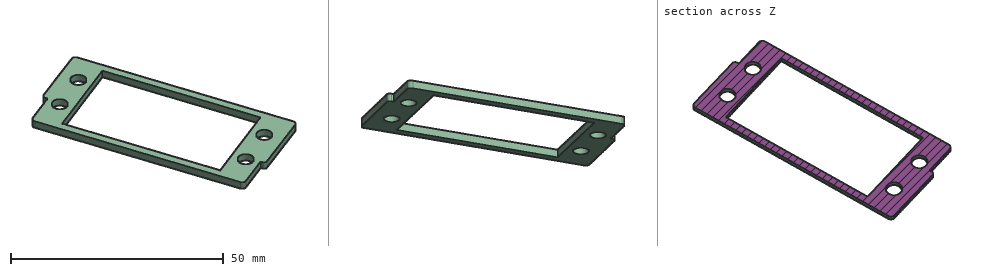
import cadquery as cq

length = 58.2
width = 26.0
thickness = 2.0

ear_overhang = 1.4
ear_length = 17.0
side_lean = 0.1

corner_radius = 1.0
ear_radius = 0.75

window_length = 41.05
window_width = 22.0

hole_diameter = 3.8
hole_spacing_x = 48.3
hole_spacing_y = 10.1
hole_centre_y = 0.4

half_length = length / 2
back_y = width / 2
front_y = -width / 2
ear_y = back_y - ear_length
lean_slope = side_lean / ear_length
body_half_length = half_length - ear_overhang


def corner_at(x, y):
    """Select the upright edge at one outline corner."""
    reach = 0.03
    return cq.selectors.BoxSelector(
        (x - reach, y - reach, -reach),
        (x + reach, y + reach, thickness + reach),
    )


def make_plate():
    """Stepped outline with rounded outer corners."""
    right_x = half_length + corner_radius * lean_slope
    left_x = -half_length - ear_radius * lean_slope
    back_corners = [(right_x, back_y), (left_x + side_lean, back_y)]
    ear_corners = [(left_x, ear_y), (right_x - side_lean, ear_y)]
    front_corners = [(-body_half_length, front_y), (body_half_length, front_y)]
    outline = [
        *back_corners,
        ear_corners[0],
        (-body_half_length, ear_y),
        *front_corners,
        (body_half_length, ear_y),
        ear_corners[1],
    ]
    plate = cq.Workplane("XY").polyline(outline).close().extrude(thickness)
    for x, y in back_corners + front_corners:
        plate = plate.edges(corner_at(x, y)).fillet(corner_radius)
    for x, y in ear_corners:
        plate = plate.edges(corner_at(x, y)).fillet(ear_radius)
    return plate


def make_window():
    return cq.Workplane("XY").rect(window_length, window_width).extrude(thickness)


def make_holes():
    return (
        cq.Workplane("XY")
        .center(0, hole_centre_y)
        .rarray(hole_spacing_x, hole_spacing_y, 2, 2)
        .circle(hole_diameter / 2)
        .extrude(thickness)
    )


result = make_plate().cut(make_window()).cut(make_holes())